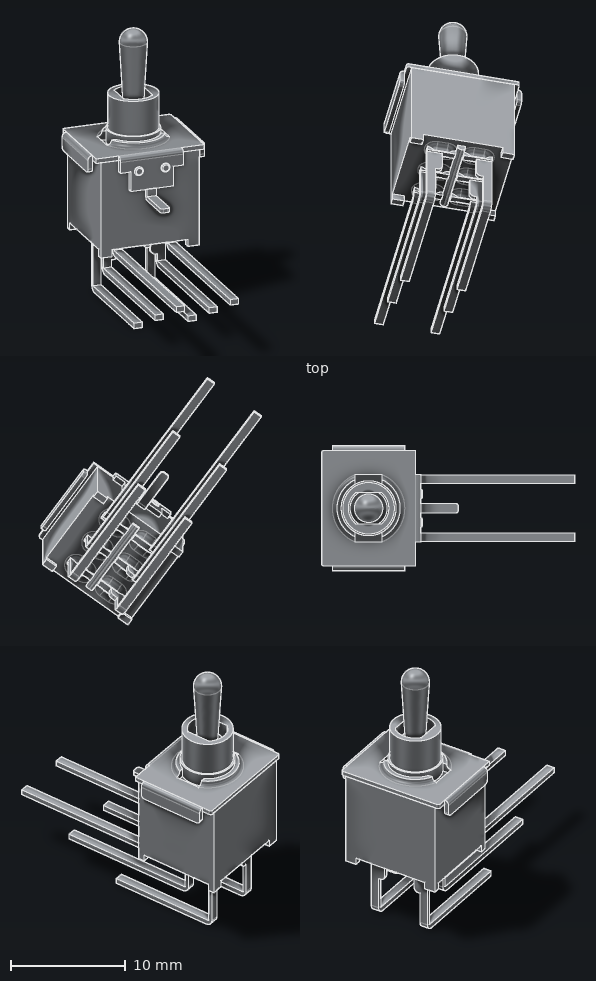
import cadquery as cq
import math


body_x = 8.15
body_y = 9.23
feet_z = -9.3
floor_z = -8.65
foot_x = 0.6
foot_y = 1.07

sheet = 0.42
frame_x = 8.2
frame_y = 10.1
frame_corner = 0.2
tab_length_x = 6.32
tab_outer_y = 10.92
tab_bottom_z = -1.6
tab_corner = 0.35

flap_thickness = 0.45
flap_width = 5.9
flap_step_z = -1.47
flap_lower_width = 3.98
flap_bottom_z = -3.28
rivet_diameter = 0.8
rivet_height = 0.17
rivet_chamfer = 0.1
rivet_y = 1.25
support_width = 0.85
support_thickness = 0.37
support_bottom_z = -4.38
support_end_x = 7.83
support_bend = 0.3
support_corner = 0.25

collar_base_radius = 3.15
collar_top_radius = 2.75
collar_height = 0.42
collar_slot_width = 2.35
flange_diameter = 4.8
flange_top_z = 0.87
bushing_diameter = 4.5
bushing_top_z = 4.1
opening_diameter = 3.53
opening_flats = 2.7

lever_top_z = 10.05
tip_radius = 1.25
neck_radius = 0.97
pivot_ball_radius = 1.62
pivot_ball_z = 1.87

pin_pitch = 2.54
pin_thickness = 0.35
pin_width = 0.77
pin_outer_y = 2.9
pin_leg_height = 0.52
pin_bend = 0.67
first_pin_bottom_z = lever_top_z - 24.87
first_pin_end_x = 7.75
pin_end_step = 5.12
root_thickness = 0.55
root_inner_y = 0.37
root_bottom_z = -9.1
shoulder_inner_y = 1.52
shoulder_bottom_z = -11.12
shoulder_corner = 0.45

seal_base_radius = 1.0
seal_tip_radius = 0.32
seal_root = 0.12
seal_straight_y = 0.95
seal_height = 0.4
rib_width = 0.7
rib_bottom_z = -9.15
rib_round = 0.32

frame_edge_x = frame_x / 2


def block(x0, x1, y0, y1, z0, z1):
    """Box between the given limits along each axis."""
    return cq.Workplane("XY").box(x1 - x0, y1 - y0, z1 - z0, centered=False).translate((x0, y0, z0))


def cylinder(diameter, z0, z1):
    """Upright cylinder on the lever axis."""
    return cq.Workplane("XY").workplane(offset=z0).circle(diameter / 2).extrude(z1 - z0)


def bent_strip(x0, x1, y0, y1, z0, z1, upright, level, bend):
    """L-shaped strip: an upright part at x0, then a level leg out to x1 with a round outer bend."""
    strip = block(x0, x1, y0, y1, z0, z1)
    strip = strip.edges("|Y and <X and <Z").fillet(bend)
    return strip.cut(block(x0 + upright, x1, y0, y1, z0 + level, z1))


def make_housing():
    half_x = body_x / 2
    half_y = body_y / 2
    body = block(-half_x, half_x, -half_y, half_y, feet_z, -sheet)
    inner_x = half_x - foot_x
    inner_y = half_y - foot_y
    across_x = block(-half_x, half_x, -inner_y, inner_y, feet_z, floor_z)
    across_y = block(-inner_x, inner_x, -half_y, half_y, feet_z, floor_z)
    rib = block(-inner_x, inner_x, -rib_width / 2, rib_width / 2, rib_bottom_z, floor_z)
    rib = rib.edges("|X and <Z").fillet(rib_round)
    return body.cut(across_x).cut(across_y).union(rib)


def make_frame():
    frame = block(-frame_edge_x, frame_edge_x, -frame_y / 2, frame_y / 2, -sheet, 0)
    frame = frame.edges("|Z and <X").fillet(frame_corner)
    half_tab = tab_length_x / 2
    outer = tab_outer_y / 2
    inner = outer - sheet
    for side in (-1, 1):
        tab = block(-half_tab, half_tab, inner, outer, tab_bottom_z, 0)
        tab = tab.edges("|Y and <Z").fillet(tab_corner)
        tab = tab.union(block(-half_tab, half_tab, inner - sheet, inner, -sheet, 0))
        tab = tab.edges("|X and >Y and >Z").fillet(sheet)
        frame = frame.union(tab if side > 0 else tab.mirror("XZ"))
    return frame


def make_flap():
    outer_x = frame_edge_x + flap_thickness
    upper = block(frame_edge_x, outer_x, -flap_width / 2, flap_width / 2, flap_step_z, 0)
    upper = upper.union(block(frame_edge_x - sheet, frame_edge_x, -flap_width / 2, flap_width / 2, -sheet, 0))
    upper = upper.edges("|Y and >X and >Z").fillet(flap_thickness)
    half_lower = flap_lower_width / 2
    flap = upper.union(block(frame_edge_x, outer_x, -half_lower, half_lower, flap_bottom_z, flap_step_z))
    for y in (-rivet_y, rivet_y):
        rivet = cq.Workplane("YZ", origin=(outer_x, y, flap_step_z)).circle(rivet_diameter / 2)
        flap = flap.union(rivet.extrude(rivet_height).faces(">X").chamfer(rivet_chamfer))
    support = bent_strip(
        frame_edge_x, support_end_x, -support_width / 2, support_width / 2, support_bottom_z, flap_bottom_z,
        support_thickness, support_thickness, support_bend,
    )
    support = support.edges("|Z and >X").fillet(support_corner)
    return flap.union(support)


def make_collar():
    flare = collar_base_radius - collar_top_radius
    inset = flare * (1 - math.sqrt(0.5))
    collar = (
        cq.Workplane("XZ")
        .moveTo(0, -sheet)
        .lineTo(collar_base_radius, -sheet)
        .lineTo(collar_base_radius, 0)
        .threePointArc((collar_top_radius + inset, inset), (collar_top_radius, flare))
        .lineTo(collar_top_radius, collar_height)
        .lineTo(0, collar_height)
        .close()
        .revolve(360, (0, 0, 0), (0, 1, 0))
    )
    return collar.cut(make_collar_slot(2 * collar_base_radius))


def make_collar_slot(length):
    """Slot along Y across the collar and through the frame sheet."""
    return (
        cq.Workplane("XY")
        .workplane(offset=-sheet)
        .rect(collar_slot_width, length)
        .extrude(sheet + collar_height)
    )


def make_bushing():
    bushing = cylinder(flange_diameter, -sheet, flange_top_z)
    return bushing.union(cylinder(bushing_diameter, flange_top_z, bushing_top_z))


def make_opening():
    """Round opening with two flats, down to the centre of the pivot ball."""
    half = opening_diameter / 2
    flats = block(-half, half, -opening_flats / 2, opening_flats / 2, pivot_ball_z, bushing_top_z)
    return cylinder(opening_diameter, pivot_ball_z, bushing_top_z).intersect(flats)


def make_lever():
    """Tapered lever with a round tip on a pivot ball; the upper half of the ball stands in the opening."""
    tip_z = lever_top_z - tip_radius
    taper = (tip_radius - neck_radius) / (tip_z - bushing_top_z)
    root_radius = neck_radius - taper * (bushing_top_z - pivot_ball_z)
    stem = (
        cq.Workplane("XZ")
        .moveTo(0, pivot_ball_z)
        .lineTo(root_radius, pivot_ball_z)
        .lineTo(tip_radius, tip_z)
        .threePointArc((tip_radius * math.sqrt(0.5), tip_z + tip_radius * math.sqrt(0.5)), (0, lever_top_z))
        .close()
        .revolve(360, (0, 0, 0), (0, 1, 0))
    )
    ball = cq.Workplane("XY").sphere(pivot_ball_radius).translate((0, 0, pivot_ball_z))
    return stem.union(ball)


def make_pin(index):
    """One pin of the +Y row; index 0 is the longest upright with the shortest leg."""
    centre_x = (index - 1) * pin_pitch
    right_x = centre_x + root_thickness / 2
    left_x = right_x - pin_thickness
    bottom_z = first_pin_bottom_z + index * pin_pitch
    end_x = first_pin_end_x + index * pin_end_step
    inner_y = pin_outer_y - pin_width
    pin = bent_strip(
        left_x, end_x, inner_y, pin_outer_y, bottom_z, floor_z, pin_thickness, pin_leg_height, pin_bend
    )
    root = block(right_x - root_thickness, right_x, root_inner_y, pin_outer_y, root_bottom_z, floor_z)
    pin = pin.union(root)
    if bottom_z + pin_bend < shoulder_bottom_z:
        shoulder = block(left_x, right_x, shoulder_inner_y, pin_outer_y, shoulder_bottom_z, floor_z)
        pin = pin.union(shoulder.edges("|X and <Y and <Z").fillet(shoulder_corner))
    return pin.union(make_seal(centre_x))


def seal_profile():
    """Half section of the sealant: a concave arc that runs out level into the housing floor."""
    flare = seal_base_radius - seal_tip_radius
    arc_radius = (flare**2 + seal_height**2) / (2 * seal_height)
    return (
        cq.Workplane("XZ")
        .moveTo(0, seal_root)
        .lineTo(seal_base_radius, seal_root)
        .lineTo(seal_base_radius, 0)
        .radiusArc((seal_tip_radius, -seal_height), -arc_radius)
        .lineTo(0, -seal_height)
        .close()
    )


def make_seal(x):
    """Sealant skirt with round ends, hanging from the housing floor around a pin root."""
    half_straight = seal_straight_y / 2
    side = seal_profile().extrude(half_straight, both=True)
    end = seal_profile().revolve(180, (0, 0, 0), (0, 1, 0)).translate((0, half_straight, 0))
    skirt = side.union(side.mirror("YZ")).union(end).union(end.mirror("XZ"))
    return skirt.translate((x, (root_inner_y + pin_outer_y) / 2, floor_z))


result = make_housing().union(make_frame()).union(make_flap())
slot_length = 2 * math.sqrt(collar_base_radius**2 - (collar_slot_width / 2) ** 2)
result = result.union(make_collar()).cut(make_collar_slot(slot_length))
result = result.union(make_bushing()).cut(make_opening()).union(make_lever())
for pin_index in range(3):
    pin = make_pin(pin_index)
    result = result.union(pin).union(pin.mirror("XZ"))